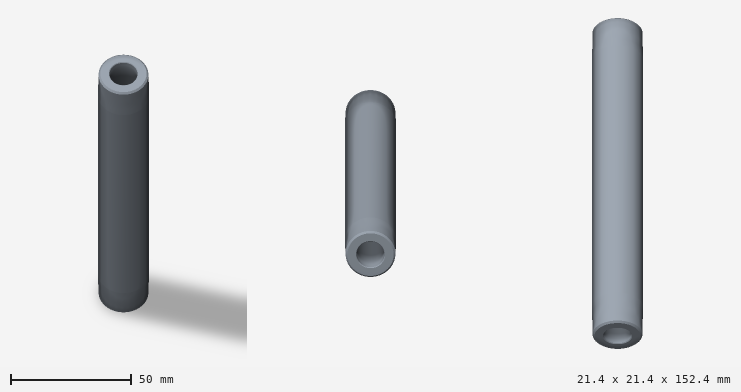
import cadquery as cq

length = 152.4
outer_radius = 10.7
bore_radius = 5.8
taper_length = 14.5
taper_drop = 0.34
outer_chamfer = 0.8
bore_chamfer = 0.3

half_length = length / 2
end_radius = outer_radius - taper_drop
face_outer_radius = end_radius - outer_chamfer
face_inner_radius = bore_radius + bore_chamfer
taper_start = half_length - taper_length
outer_chamfer_start = half_length - outer_chamfer
bore_chamfer_start = half_length - bore_chamfer

wall_section = (
    cq.Workplane("XZ")
    .moveTo(bore_radius, -bore_chamfer_start)
    .lineTo(face_inner_radius, -half_length)
    .lineTo(face_outer_radius, -half_length)
    .lineTo(end_radius, -outer_chamfer_start)
    .lineTo(outer_radius, -taper_start)
    .lineTo(outer_radius, taper_start)
    .lineTo(end_radius, outer_chamfer_start)
    .lineTo(face_outer_radius, half_length)
    .lineTo(face_inner_radius, half_length)
    .lineTo(bore_radius, bore_chamfer_start)
    .close()
)

result = wall_section.revolve(360, (0, 0, 0), (0, 1, 0))